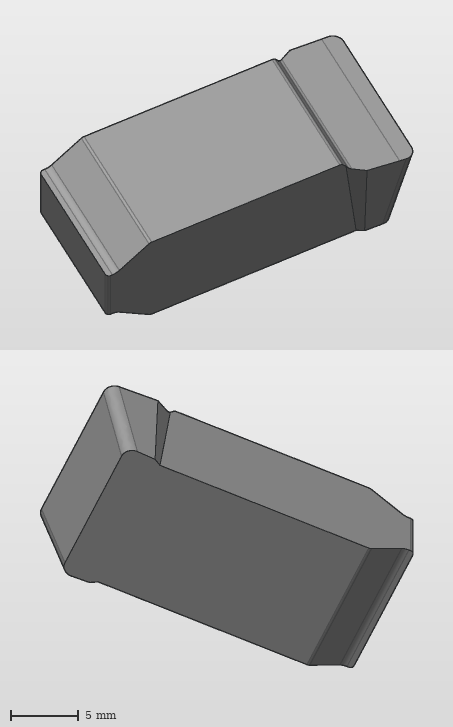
import cadquery as cq
import math

length = 25.4
height = 8.9
shank_width = 11.02

tail_height = 4.78
taper_start = 3.6
taper_angle = math.radians(36)
tail_root_radius = 1.0
crest_radius = 0.38
tail_edge_radius = 0.3

edge_z = 7.5
land_start_y = 23.98
land_start_z = 7.65
rake_foot_y = 20.17
rake_foot_z = 8.13
step_top_y = 19.58
step_root_radius = 0.38
step_crest_radius = 0.33

heel_y = 23.7
heel_half_width = 5.92
head_corner_radius = 0.86
neck_y = 20.78
neck_lean = 0.1
neck_angle = math.radians(30)
side_taper = 0.038
side_relief = 0.056
heel_relief = (length - heel_y) / edge_z

shank_half_width = shank_width / 2


def make_profile():
    """Side outline in YZ, extruded wider than the head."""
    tail_bottom = (height - tail_height) / 2
    tail_top = tail_bottom + tail_height
    taper_end = taper_start - tail_bottom / math.tan(taper_angle)
    extrusion_width = 2 * shank_width
    points = [
        (0, tail_bottom),
        (taper_end, tail_bottom),
        (taper_start, 0),
        (heel_y, 0),
        (length, edge_z),
        (land_start_y, land_start_z),
        (rake_foot_y, rake_foot_z),
        (step_top_y, height),
        (taper_start, height),
        (taper_end, tail_top),
        (0, tail_top),
    ]
    profile = cq.Workplane("YZ").polyline(points).close().extrude(extrusion_width / 2, both=True)

    def round_edges(body, corners, radius):
        for y, z in corners:
            body = body.edges(cq.selectors.NearestToPointSelector((0, y, z))).fillet(radius)
        return body

    profile = round_edges(profile, [(taper_end, tail_bottom), (taper_end, tail_top)], tail_root_radius)
    profile = round_edges(profile, [(taper_start, 0), (taper_start, height)], crest_radius)
    profile = round_edges(profile, [(rake_foot_y, rake_foot_z)], step_root_radius)
    return round_edges(profile, [(step_top_y, height)], step_crest_radius)


def head_outline(z):
    """Corner points of the flared head at height z."""
    back_y = heel_y + heel_relief * z
    neck_front = neck_y - neck_lean * z

    def side_half_width(y):
        return heel_half_width + side_taper * (y - heel_y) + side_relief * z

    neck_slope = math.tan(neck_angle)
    neck_run = (side_half_width(neck_front) - shank_half_width) / (neck_slope - side_taper)
    flare_y = neck_front + neck_run
    right = [
        (shank_half_width, neck_front),
        (side_half_width(flare_y), flare_y),
        (side_half_width(back_y), back_y),
    ]
    left = [(-x, y) for x, y in reversed(right)]
    return right + left


def make_head():
    """Flared head with relieved sides and rounded back corners."""
    head = (
        cq.Workplane("XY")
        .polyline(head_outline(0)).close()
        .workplane(offset=height)
        .polyline(head_outline(height)).close()
        .loft(ruled=True)
    )
    corner_y = heel_y + heel_relief * height / 2
    for side in (-1, 1):
        corner = (side * heel_half_width, corner_y, height / 2)
        head = head.edges(cq.selectors.NearestToPointSelector(corner)).fillet(head_corner_radius)
    return head


def make_shank():
    """Straight shank with rounded upright edges at the tail end."""
    shank = cq.Workplane("XY").box(shank_width, neck_y, height, centered=(True, False, False))
    return shank.edges("|Z and <Y").fillet(tail_edge_radius)


result = make_shank().union(make_head()).intersect(make_profile())